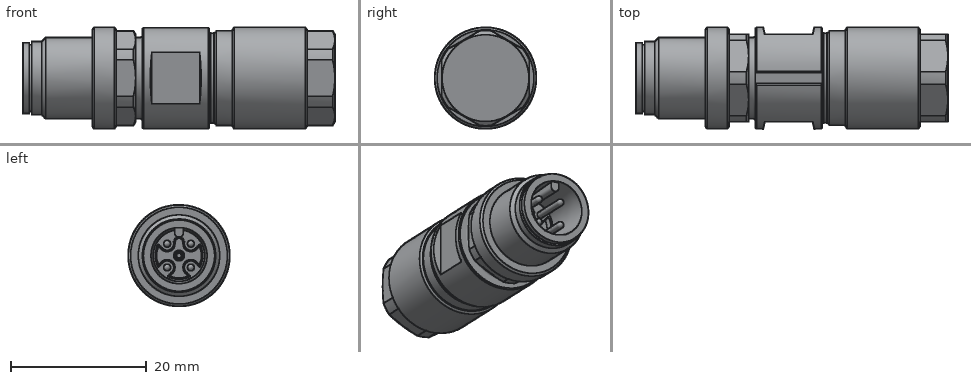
import cadquery as cq
import math

LENGTH = 46.0
OUTER_D = 15.0
HEX_CORNER_D = 14.0
HEX_FLATS = 12.93

LIP_D = 10.5
NOSE_GROOVE_D = 9.9
LAND_D = 10.8
BARREL_D = 12.0
LIP_END = 0.95
NOSE_GROOVE_END = 1.3
LAND_END = 2.75
CONE_END = 3.35

RING_START = 10.2
RING_END = 13.75
FRONT_HEX_END = 16.65
SLEEVE_START = 17.6
SLEEVE_END = 27.45
COLLAR_START = 28.47
SHELL_START = 30.85
SHELL_END = 41.85

EDGE_LENGTH = 0.28
EDGE_DEPTH = 0.35
HEX_EDGE_LENGTH = 0.35
HEX_EDGE_DEPTH = 0.6
SLEEVE_EDGE = 0.2
NECK_FILLET = 0.35

SEAT_D = 13.35
SEAL_D = 13.25
SEAL_START = 27.7
SEAL_END = 28.1
SEAT_CONE_START = 28.2
SEAT_CONE_D = 13.6

FLAT_START = 19.0
FLAT_END = 26.05
FLAT_END_LEAN = 0.25

TOP_GROOVE_WIDTH = 2.05
TOP_GROOVE_FLOOR_WIDTH = 1.55

SOCKET_D = 8.3
SOCKET_FLOOR_D = 7.6
SOCKET_DEPTH = 9.2
KEY_WIDTH = 1.25
KEY_CENTER_Z = 3.3
KEY_FRONT = 0.45
PIN_D = 1.0
PIN_TIP = 1.85
PIN_OFFSET = 1.75
RECESS_D = 7.0
RECESS_TOP_Z = 2.75
RECESS_ARM_WIDTH = 1.45
RECESS_DEPTH = 0.9
RECESS_DRAFT = 12.0
PAD_D = 1.95
CENTER_SEAT_D = 1.55
CENTER_SEAT_DEPTH = 0.25
CENTER_HOLE_D = 1.1
CENTER_HOLE_FLOOR_D = 0.75
CENTER_HOLE_DEPTH = 1.4


def cross_section(x):
    """Workplane across the axis at x: local x is +Y, local y is +Z, normal +X."""
    return cq.Workplane("YZ", origin=(x, 0, 0))


def turned_body():
    outer_r = OUTER_D / 2
    edge_r = outer_r - EDGE_DEPTH
    hex_r = HEX_CORNER_D / 2
    hex_edge_r = hex_r - HEX_EDGE_DEPTH
    neck_r = BARREL_D / 2
    fillet_mid = NECK_FILLET * math.sqrt(0.5)
    fillet_start = SLEEVE_START - NECK_FILLET
    profile = (
        cq.Workplane("XY")
        .moveTo(0, 0)
        .lineTo(0, LIP_D / 2)
        .lineTo(LIP_END, LIP_D / 2)
        .lineTo(LIP_END, NOSE_GROOVE_D / 2)
        .lineTo(NOSE_GROOVE_END, NOSE_GROOVE_D / 2)
        .lineTo(NOSE_GROOVE_END, LAND_D / 2)
        .lineTo(LAND_END, LAND_D / 2)
        .lineTo(CONE_END, neck_r)
        .lineTo(RING_START, neck_r)
        .lineTo(RING_START, edge_r)
        .lineTo(RING_START + EDGE_LENGTH, outer_r)
        .lineTo(RING_END - EDGE_LENGTH, outer_r)
        .lineTo(RING_END, edge_r)
        .lineTo(RING_END, hex_r)
        .lineTo(FRONT_HEX_END - HEX_EDGE_LENGTH, hex_r)
        .lineTo(FRONT_HEX_END, hex_edge_r)
        .lineTo(FRONT_HEX_END, neck_r)
        .lineTo(fillet_start, neck_r)
        .threePointArc(
            (fillet_start + fillet_mid, neck_r + NECK_FILLET - fillet_mid),
            (SLEEVE_START, neck_r + NECK_FILLET),
        )
        .lineTo(SLEEVE_START, outer_r - SLEEVE_EDGE)
        .lineTo(SLEEVE_START + SLEEVE_EDGE, outer_r)
        .lineTo(SLEEVE_END - SLEEVE_EDGE, outer_r)
        .lineTo(SLEEVE_END, outer_r - SLEEVE_EDGE)
        .lineTo(SLEEVE_END, SEAT_D / 2)
        .lineTo(SEAL_START, SEAT_D / 2)
        .lineTo(SEAL_START, SEAL_D / 2)
        .lineTo(SEAL_END, SEAL_D / 2)
        .lineTo(SEAL_END, SEAT_D / 2)
        .lineTo(SEAT_CONE_START, SEAT_D / 2)
        .lineTo(COLLAR_START, SEAT_CONE_D / 2)
        .lineTo(COLLAR_START, hex_r)
        .lineTo(SHELL_START, hex_r)
        .lineTo(SHELL_START, edge_r)
        .lineTo(SHELL_START + EDGE_LENGTH, outer_r)
        .lineTo(SHELL_END - EDGE_LENGTH, outer_r)
        .lineTo(SHELL_END, edge_r)
        .lineTo(SHELL_END, hex_r)
        .lineTo(LENGTH - HEX_EDGE_LENGTH, hex_r)
        .lineTo(LENGTH, hex_edge_r)
        .lineTo(LENGTH, 0)
        .close()
    )
    return profile.revolve(360, (0, 0, 0), (1, 0, 0))


def hexagon_waste(start, end):
    """Material outside a hexagon that has flats facing +Y and -Y."""
    corner_d = HEX_FLATS / math.cos(math.pi / 6)
    hexagon = cross_section(start).transformed(rotate=(0, 0, 30)).polygon(6, corner_d).extrude(end - start)
    return cross_section(start).circle(OUTER_D).extrude(end - start).cut(hexagon)


def sleeve_flat(side):
    """Cutter for the wrench flat on the +Y (side = 1) or -Y (side = -1) face."""
    floor_y = side * HEX_FLATS / 2
    outer_y = side * OUTER_D / 2
    outline = [
        (FLAT_START, floor_y),
        (FLAT_END, floor_y),
        (FLAT_END + FLAT_END_LEAN, outer_y),
        (FLAT_START - FLAT_END_LEAN, outer_y),
    ]
    return cq.Workplane("XY").polyline(outline).close().extrude(OUTER_D / 2, both=True)


def top_groove():
    """Shallow groove with 45 degree walls along the whole sleeve."""
    half_top = TOP_GROOVE_WIDTH / 2
    half_floor = TOP_GROOVE_FLOOR_WIDTH / 2
    rim_z = math.sqrt((OUTER_D / 2) ** 2 - half_top ** 2)
    floor_z = rim_z - (half_top - half_floor)
    above = OUTER_D / 2 - rim_z
    outline = [
        (-half_floor, floor_z),
        (half_floor, floor_z),
        (half_top + above, rim_z + above),
        (-half_top - above, rim_z + above),
    ]
    return cross_section(SLEEVE_START).polyline(outline).close().extrude(SLEEVE_END - SLEEVE_START)


def socket():
    """Bore that narrows evenly to its floor."""
    outline = [(0, 0), (0, SOCKET_D / 2), (SOCKET_DEPTH, SOCKET_FLOOR_D / 2), (SOCKET_DEPTH, 0)]
    return cq.Workplane("XY").polyline(outline).close().revolve(360, (0, 0, 0), (1, 0, 0))


def coding_key():
    """Round-nosed rib along the top of the socket."""
    depth = SOCKET_DEPTH - KEY_FRONT
    wall_z = (SOCKET_D + LIP_D) / 4
    nose = cross_section(KEY_FRONT).center(0, KEY_CENTER_Z).circle(KEY_WIDTH / 2).extrude(depth)
    rib_height = wall_z - KEY_CENTER_Z
    rib = (
        cross_section(KEY_FRONT)
        .center(0, KEY_CENTER_Z + rib_height / 2)
        .rect(KEY_WIDTH, rib_height)
        .extrude(depth)
    )
    return nose.union(rib)


def insert_recess():
    """Drafted recess in the socket floor, leaving the four pin pads standing."""
    rim_r = RECESS_D / 2
    arm_r = RECESS_ARM_WIDTH / 2
    arm_z = RECESS_TOP_Z - arm_r
    half_width = math.sqrt(rim_r ** 2 - arm_z ** 2)
    recess = (
        cross_section(SOCKET_DEPTH)
        .moveTo(-half_width, arm_z)
        .threePointArc((0, -rim_r), (half_width, arm_z))
        .lineTo(arm_r, arm_z)
        .threePointArc((0, RECESS_TOP_Z), (-arm_r, arm_z))
        .close()
        .extrude(RECESS_DEPTH, taper=RECESS_DRAFT)
    )
    spread = RECESS_DEPTH * math.tan(math.radians(RECESS_DRAFT))
    pin_radius = PIN_OFFSET * math.sqrt(2)
    floor_pad_r = PAD_D / 2 + spread
    pad = (
        cross_section(SOCKET_DEPTH + RECESS_DEPTH)
        .moveTo(pin_radius, floor_pad_r)
        .threePointArc((pin_radius - floor_pad_r, 0), (pin_radius, -floor_pad_r))
        .lineTo(2 * rim_r, -floor_pad_r)
        .lineTo(2 * rim_r, floor_pad_r)
        .close()
        .extrude(-RECESS_DEPTH, taper=RECESS_DRAFT)
    )
    for angle in (45, 135, 225, 315):
        recess = recess.cut(pad.rotate((0, 0, 0), (1, 0, 0), angle))
    return recess


def center_hole():
    """Stepped, tapered blind hole on the axis of the insert."""
    start = SOCKET_DEPTH + RECESS_DEPTH
    step = start + CENTER_SEAT_DEPTH
    end = step + CENTER_HOLE_DEPTH
    outline = [
        (start, 0),
        (start, CENTER_SEAT_D / 2),
        (step, CENTER_SEAT_D / 2),
        (step, CENTER_HOLE_D / 2),
        (end, CENTER_HOLE_FLOOR_D / 2),
        (end, 0),
    ]
    return cq.Workplane("XY").polyline(outline).close().revolve(360, (0, 0, 0), (1, 0, 0))


def contact_pin(y, z):
    """Round-tipped pin rooted in its pad."""
    root = SOCKET_DEPTH + RECESS_DEPTH
    tip_r = PIN_D / 2
    shank_start = PIN_TIP + tip_r
    bulge = tip_r * math.sqrt(0.5)
    half_section = (
        cq.Workplane("XY")
        .moveTo(PIN_TIP, 0)
        .threePointArc((shank_start - bulge, bulge), (shank_start, tip_r))
        .lineTo(root, tip_r)
        .lineTo(root, 0)
        .close()
    )
    return half_section.revolve(360, (0, 0, 0), (1, 0, 0)).translate((0, y, z))


body = turned_body()
body = body.cut(hexagon_waste(RING_END, FRONT_HEX_END))
body = body.cut(hexagon_waste(SHELL_END, LENGTH))
for side in (1, -1):
    body = body.cut(sleeve_flat(side))
body = body.cut(top_groove())

body = body.cut(socket()).union(coding_key())
body = body.cut(insert_recess()).cut(center_hole())
for y in (PIN_OFFSET, -PIN_OFFSET):
    for z in (PIN_OFFSET, -PIN_OFFSET):
        body = body.union(contact_pin(y, z))

result = body